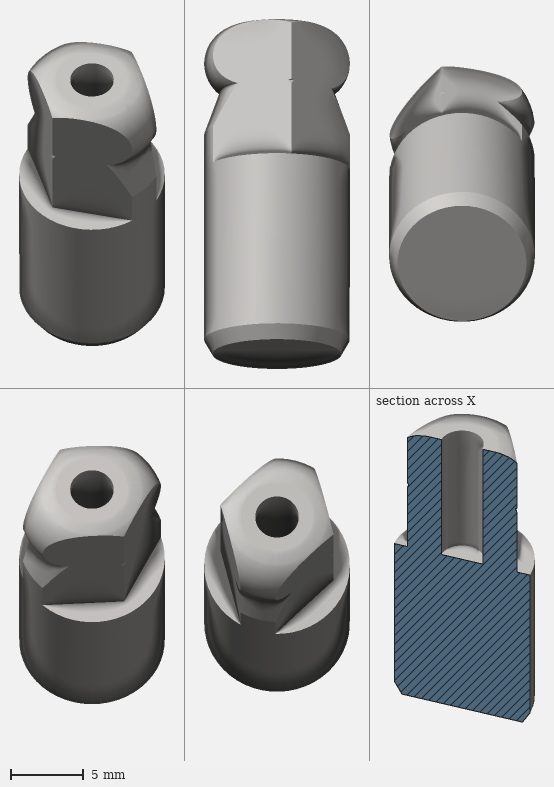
import cadquery as cq
import math

total_height = 23.0
diameter = 10.0
chamfer_height = 1.0
chamfer_angle = math.radians(30)
shoulder_height = 13.0
cone_start_height = 15.5
neck_radius = 3.93
round_radius = 2.5
flats_width = 7.0
flat_angle = math.radians(30)
hole_diameter = 3.0
hole_depth = total_height - shoulder_height

radius = diameter / 2
foot_radius = radius - chamfer_height * math.tan(chamfer_angle)
round_center_radius = radius - round_radius
round_center_height = total_height - round_radius
neck_height = round_center_height - math.sqrt(
    round_radius**2 - (neck_radius - round_center_radius)**2
)


def turned_body():
    """Chamfered shank, tapered neck and rounded bulb, turned about Z."""
    profile = (
        cq.Workplane("XZ")
        .lineTo(foot_radius, 0)
        .lineTo(radius, chamfer_height)
        .lineTo(radius, cone_start_height)
        .lineTo(neck_radius, neck_height)
        .threePointArc(
            (radius, round_center_height),
            (round_center_radius, total_height),
        )
        .lineTo(0, total_height)
        .close()
    )
    return profile.revolve(360, (0, 0), (0, 1))


def flats_envelope():
    """Full round shank below, diamond prism above that leaves four flats on the head."""
    corner_y = flats_width / 2 / math.cos(flat_angle)
    corner_x = flats_width / 2 / math.sin(flat_angle)
    shank = cq.Workplane("XY").circle(radius).extrude(shoulder_height)
    diamond = (
        cq.Workplane("XY")
        .polyline([(corner_x, 0), (0, corner_y), (-corner_x, 0), (0, -corner_y)])
        .close()
        .extrude(total_height)
    )
    return shank.union(diamond)


def tip_hole():
    """Blind axial hole sunk from the top face."""
    return (
        cq.Workplane("XY")
        .workplane(offset=total_height - hole_depth)
        .circle(hole_diameter / 2)
        .extrude(hole_depth)
    )


result = turned_body().intersect(flats_envelope()).cut(tip_hole())